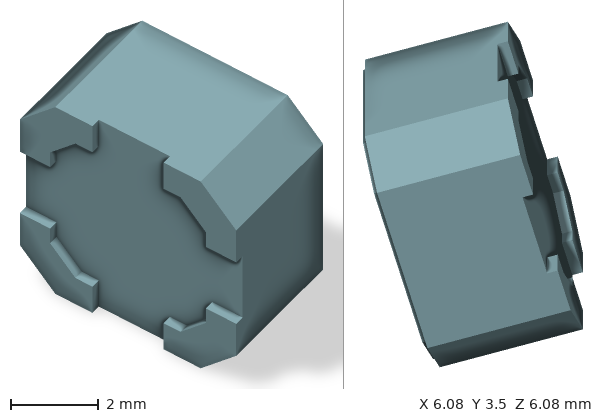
import cadquery as cq
import math

width = 6.08
depth = 3.5
corner_cut = 1.0

plate_thickness = 0.1
plate_inset = 0.2
plate_corner_cut = corner_cut - plate_inset * (2 - math.sqrt(2))

pad_height = 0.25
pad_rim = 0.85
pad_inner_cut = 0.71
pad_gap = 2.0

body_depth = depth - pad_height - plate_thickness
front_y = -depth / 2
body_front_y = front_y + pad_height
body_back_y = body_front_y + body_depth


def octagon_prism(side, cut, start_y, length):
    """Square prism along +Y with its four long edges chamfered."""
    return (
        cq.Workplane("XY")
        .box(side, length, side)
        .edges("|Y")
        .chamfer(cut)
        .translate((0, start_y + length / 2, 0))
    )


def corner_pads():
    """Octagonal rim split into four pads by a gap at the middle of each side."""
    rim = octagon_prism(width, corner_cut, front_y, pad_height)
    opening = octagon_prism(width - 2 * pad_rim, pad_inner_cut, front_y, pad_height)
    pad_middle_y = front_y + pad_height / 2
    gap_x = cq.Workplane("XY").box(width, pad_height, pad_gap).translate((0, pad_middle_y, 0))
    gap_z = cq.Workplane("XY").box(pad_gap, pad_height, width).translate((0, pad_middle_y, 0))
    return rim.cut(opening).cut(gap_x).cut(gap_z)


body = octagon_prism(width, corner_cut, body_front_y, body_depth)
plate = octagon_prism(width - 2 * plate_inset, plate_corner_cut, body_back_y, plate_thickness)

result = body.union(plate).union(corner_pads())